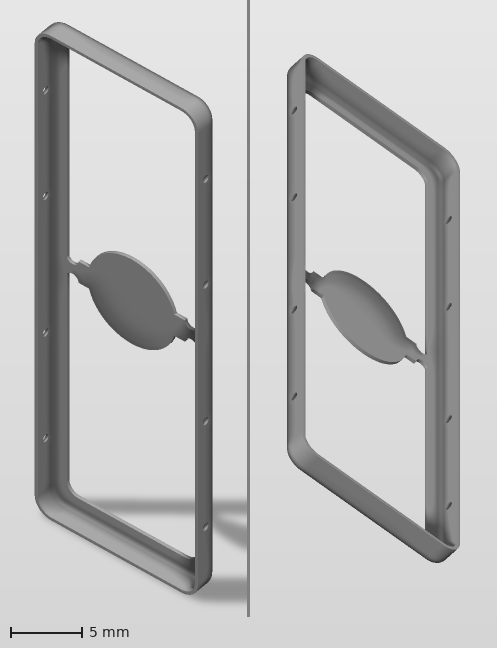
import cadquery as cq

width = 14.8
depth = 2.0
height = 46.0
corner_radius = 1.5
back_edge_radius = 0.6
wall = 0.28

lip = 1.5
window_radius = 1.0
window_width = width - 2 * lip
window_height = height - 2 * lip

disc_diameter = 8.0
tab_height = 2.02
neck_height = 0.9
notch_radius = 0.55
notch_inset = 0.5

hole_diameter = 0.65
hole_from_front = 0.87
hole_heights = (6.5, 16.5)

front_y = -depth / 2
back_y = depth / 2
floor_y = back_y - wall


def rounded_block(size_x, size_z, radius, start_y, end_y):
    """Block with rounded XZ corners between two Y positions."""
    block = cq.Workplane("XY").box(size_x, end_y - start_y, size_z)
    block = block.edges("|Y").fillet(radius)
    return block.translate((0, (start_y + end_y) / 2, 0))


def make_tray():
    """Thin-walled tray with concentric rounding inside and outside its back edge."""
    outer = rounded_block(width, height, corner_radius, front_y, back_y)
    outer = outer.faces(">Y").edges().fillet(back_edge_radius)
    cavity = rounded_block(width - 2 * wall, height - 2 * wall, corner_radius - wall, front_y, floor_y)
    cavity = cavity.faces(">Y").edges().fillet(back_edge_radius - wall)
    return outer.cut(cavity)


def make_window():
    return rounded_block(window_width, window_height, window_radius, floor_y, back_y)


def make_disc():
    """Disc on two tabs, each narrowed to a neck by round notches beside the frame."""
    plane = cq.Workplane("XZ", origin=(0, back_y, 0))
    tabs = plane.rect(window_width + lip, tab_height).extrude(wall)
    notch_x = window_width / 2 - notch_inset
    notch_z = neck_height / 2 + notch_radius
    centers = [(x, z) for x in (-notch_x, notch_x) for z in (-notch_z, notch_z)]
    notches = plane.pushPoints(centers).circle(notch_radius).extrude(wall)
    disc = plane.circle(disc_diameter / 2).extrude(wall)
    return tabs.cut(notches).union(disc)


def make_holes():
    centers = [(front_y + hole_from_front, sign * z) for z in hole_heights for sign in (-1, 1)]
    return cq.Workplane("YZ").pushPoints(centers).circle(hole_diameter / 2).extrude(width, both=True)


result = make_tray().cut(make_window()).union(make_disc()).cut(make_holes())